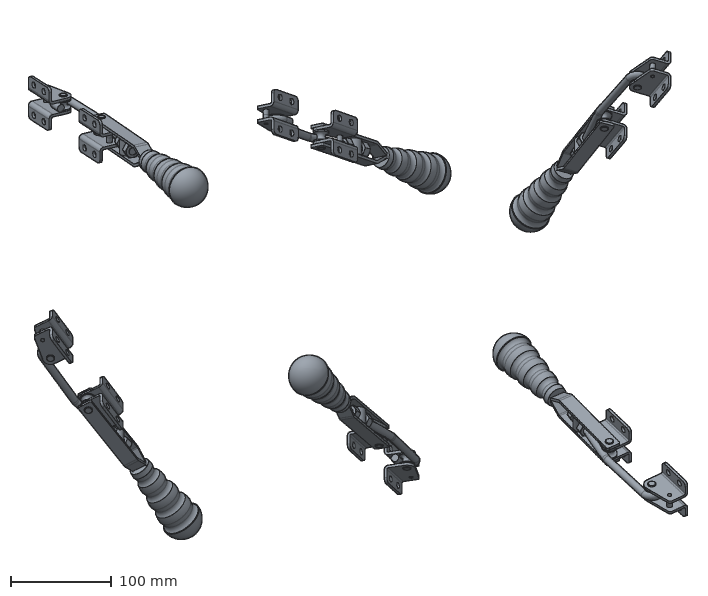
import cadquery as cq
import math


plate_thickness = 3.0
bracket_gap = 11.0
plate_inner_z = bracket_gap / 2
plate_outer_z = plate_inner_z + plate_thickness
rod_diameter = 8.0
rod_radius = rod_diameter / 2
catch_pivot_x = -73.3

bracket_length = 40.0
bracket_height = 46.2
nose_radius = 8.0
base_depth = 21.2
top_slope = 14.0
plate_corner_radius = 3.3
bend_radius = 1.5
flange_corner_radius = 4.5
screw_hole_diameter = 6.3
screw_pitch_x = 19.0
screw_pitch_z = 32.5

pin_radius = 4.2
head_height = 1.0
head_chamfer = 0.75
groove_ring_radius = 8.0
spool_radius = 7.8
stop_pin_offset_x = 23.5
stop_pin_offset_y = -5.0
stop_pin_radius = 3.0
stop_rivet_radius = 1.95
stop_rivet_height = 0.45

lever_tilt = -1.5
bar_thickness = 3.0
bar_half_width = 7.8
bar_end_x = -7.8
bar_corner_radius = 1.5
bar_inner_z = plate_outer_z
bar_outer_z = bar_inner_z + bar_thickness
taper_start_x = 78.7
taper_angle = 30.0
taper_bend_radius = 3.0
tang_depth = 24.0

grip_start_x = 94.2
grip_start_radius = 10.7
grip_steps = 4
step_pitch = 20.0
step_growth = 2.5
first_ridge_x = 100.2
first_ridge_radius = 11.5
valley_offset_x = 5.5
valley_drop = 1.35
shoulder_offset_x = 11.5
shoulder_rise = 1.2
valley_sag = 1.0
shoulder_bulge = 0.45
ball_radius = 21.0
ball_lip = 0.3
ball_x = first_ridge_x + (grip_steps - 1) * step_pitch + shoulder_offset_x + ball_lip

hook_radius = 9.0
hook_tail = 10.0
rod_tilt = 0.8
rod_bend_x = 64.7
rod_bend_radius = 12.0
trunnion_radius = 7.8
trunnion_height = 16.0
trunnion_x = 52.0
nut_width = 14.0
nut_thickness = 7.5
nut_chamfer_depth = 0.75
nut_face_diameter = 13.7
thread_overhang = 1.0


def turned(x, y, degrees):
    """Point (x, y) turned about the origin."""
    angle = math.radians(degrees)
    return (
        x * math.cos(angle) - y * math.sin(angle),
        x * math.sin(angle) + y * math.cos(angle),
    )


def centred_cylinder(radius, half_length):
    """Cylinder along Z about the origin."""
    return cq.Workplane("XY").circle(radius).extrude(half_length, both=True)


def bracket_side_outline():
    """Side outline of a bracket, with the main pin at the origin."""
    near_x = nose_radius
    far_x = near_x - bracket_length
    tangent = turned(0, nose_radius, top_slope)
    crown = turned(nose_radius, 0, (90 + top_slope) / 2)
    slope = math.radians(top_slope)
    far_y = (nose_radius + far_x * math.sin(slope)) / math.cos(slope)
    return (
        cq.Workplane("XY", origin=(0, 0, -bracket_height / 2))
        .moveTo(near_x, -base_depth)
        .lineTo(near_x, 0)
        .threePointArc(crown, tangent)
        .lineTo(far_x, far_y)
        .lineTo(far_x, -base_depth)
        .close()
        .extrude(bracket_height)
        .edges("|Z and <X")
        .edges(">Y")
        .fillet(plate_corner_radius)
    )


def bracket_plate():
    """The +Z plate of a bracket: a bent angle with two screw holes."""
    far_x = nose_radius - bracket_length
    middle_x = far_x + bracket_length / 2
    angle = (
        cq.Workplane("YZ", origin=(far_x, 0, 0))
        .moveTo(nose_radius, plate_inner_z)
        .lineTo(-base_depth, plate_inner_z)
        .lineTo(-base_depth, bracket_height / 2)
        .lineTo(-base_depth + plate_thickness, bracket_height / 2)
        .lineTo(-base_depth + plate_thickness, plate_outer_z)
        .lineTo(nose_radius, plate_outer_z)
        .close()
        .extrude(bracket_length)
    )
    outer_bend = cq.selectors.NearestToPointSelector((middle_x, -base_depth, plate_inner_z))
    angle = angle.edges(outer_bend).fillet(bend_radius + plate_thickness)
    inner_corner = (middle_x, -base_depth + plate_thickness, plate_outer_z)
    angle = angle.edges(cq.selectors.NearestToPointSelector(inner_corner)).fillet(bend_radius)
    angle = angle.edges("|Y and >Z").fillet(flange_corner_radius)
    holes = (
        cq.Workplane("XZ", origin=(middle_x, -base_depth, screw_pitch_z / 2))
        .rarray(screw_pitch_x, 3, 2, 1)
        .circle(screw_hole_diameter / 2)
        .extrude(-plate_thickness)
    )
    return angle.cut(holes).intersect(bracket_side_outline())


def main_pin(seat_z):
    """Main pin of a bracket: a spool grooved for the rod, with heads standing above seat_z."""
    heads = centred_cylinder(pin_radius, seat_z + head_height)
    heads = heads.faces("<Z or >Z").chamfer(head_chamfer)
    groove = cq.Workplane(cq.Solid.makeTorus(groove_ring_radius, rod_radius))
    return centred_cylinder(spool_radius, plate_inner_z).union(heads).cut(groove)


def stop_pin(rivet_height):
    """Small shouldered pin riveted through both plates, standing out by rivet_height."""
    rivet = centred_cylinder(stop_rivet_radius, plate_outer_z + rivet_height)
    pin = centred_cylinder(stop_pin_radius, plate_inner_z).union(rivet)
    return pin.translate((-stop_pin_offset_x, stop_pin_offset_y, 0))


def make_bracket(pin_seat_z, rivet_height):
    """Two plates joined by the main pin and the stop pin."""
    upper = bracket_plate()
    lower = upper.mirror("XY")
    return upper.union(lower).union(main_pin(pin_seat_z)).union(stop_pin(rivet_height))


def lever_bar():
    """The +Z bar of the lever: straight, tapered in to Z = 0, then a straight tang."""
    angle = math.radians(taper_angle)
    meet_x = taper_start_x + bar_inner_z / math.tan(angle)
    corner_shift = bar_thickness * math.tan(angle / 2)
    tang_end_x = grip_start_x + tang_depth
    bar = (
        cq.Workplane("XZ", origin=(0, bar_half_width, 0))
        .moveTo(bar_end_x, bar_inner_z)
        .lineTo(taper_start_x, bar_inner_z)
        .lineTo(meet_x, 0)
        .lineTo(tang_end_x, 0)
        .lineTo(tang_end_x, bar_thickness)
        .lineTo(meet_x + corner_shift, bar_thickness)
        .lineTo(taper_start_x + corner_shift, bar_outer_z)
        .lineTo(bar_end_x, bar_outer_z)
        .close()
        .extrude(2 * bar_half_width)
    )
    inner_bend = cq.selectors.NearestToPointSelector((taper_start_x, 0, bar_inner_z))
    bar = bar.edges(inner_bend).fillet(taper_bend_radius)
    outer_bend = cq.selectors.NearestToPointSelector((taper_start_x + corner_shift, 0, bar_outer_z))
    bar = bar.edges(outer_bend).fillet(taper_bend_radius + bar_thickness)
    return bar.edges("|Z and <X").fillet(bar_corner_radius)


def make_lever():
    """Both bars, joined along the tang and bored for the main pin."""
    upper = lever_bar()
    bars = upper.union(upper.mirror("XY"))
    return bars.cut(centred_cylinder(pin_radius, bar_outer_z))


def arc_middle(start, end, offset):
    """Middle of an arc from start to end that leaves its chord outward by offset."""
    return ((start[0] + end[0]) / 2, (start[1] + end[1]) / 2 + offset)


def make_grip(lever):
    """Turned grip: rounded steps growing toward a half ball, slotted for the tang."""
    ridge = (first_ridge_x, first_ridge_radius)
    profile = (
        cq.Workplane("XY")
        .moveTo(grip_start_x, 0)
        .lineTo(grip_start_x, grip_start_radius)
        .lineTo(*ridge)
    )
    for step in range(grip_steps):
        valley = (ridge[0] + valley_offset_x, ridge[1] - valley_drop)
        shoulder = (ridge[0] + shoulder_offset_x, ridge[1] + shoulder_rise)
        profile = profile.lineTo(*valley)
        profile = profile.threePointArc(arc_middle(valley, shoulder, -valley_sag), shoulder)
        if step < grip_steps - 1:
            ridge = (ridge[0] + step_pitch, ridge[1] + step_growth)
            profile = profile.threePointArc(arc_middle(shoulder, ridge, shoulder_bulge), ridge)
    ball_side = turned(ball_radius, 0, 45)
    profile = (
        profile.lineTo(ball_x, ball_radius)
        .threePointArc((ball_x + ball_side[0], ball_side[1]), (ball_x + ball_radius, 0))
        .close()
    )
    return profile.revolve(360, (0, 0, 0), (1, 0, 0)).cut(lever)


def trunnion_from_catch():
    """Centre of the trunnion as seen from the catch pin, with the rod shank lying along X."""
    x, y = turned(trunnion_x, 0, lever_tilt)
    return turned(x - catch_pivot_x, y, -rod_tilt)


def rod_drop_angle():
    """Bend of the rod, in degrees, that aims its threaded end at the trunnion."""
    target_x, target_y = trunnion_from_catch()
    return math.degrees(math.atan2(hook_radius - target_y, target_x - rod_bend_x))


def at_trunnion(body):
    """Move a body modelled along X about the origin onto the threaded end of the rod."""
    x, y = turned(trunnion_x, 0, lever_tilt)
    axis_angle = rod_tilt - rod_drop_angle()
    return body.rotate((0, 0, 0), (0, 0, 1), axis_angle).translate((x, y, 0))


def nut():
    """Hexagon nut beyond the trunnion on +X: corners on +Y and -Y, outer face chamfered."""
    across_corners = nut_width / math.cos(math.radians(30))
    blank = cq.Workplane("YZ", origin=(trunnion_radius, 0, 0))
    hexagon = blank.polygon(6, across_corners).extrude(nut_thickness)
    chamfer_width = (across_corners - nut_face_diameter) / 2
    chamfered_round = (
        blank.circle(across_corners / 2)
        .extrude(nut_thickness)
        .faces(">X")
        .edges()
        .chamfer(nut_chamfer_depth, chamfer_width)
    )
    return hexagon.intersect(chamfered_round)


def make_hook_rod():
    """Rod hooked around the catch pin, bent down to the trunnion, with a nut on either side."""
    drop = rod_drop_angle()
    bend_setback = rod_bend_radius * math.tan(math.radians(drop / 2))
    bend_centre = (rod_bend_x - bend_setback, hook_radius - rod_bend_radius)
    half_turn = turned(0, rod_bend_radius, -drop / 2)
    full_turn = turned(0, rod_bend_radius, -drop)
    bend_middle = (bend_centre[0] + half_turn[0], bend_centre[1] + half_turn[1])
    bend_end = (bend_centre[0] + full_turn[0], bend_centre[1] + full_turn[1])

    target_x, target_y = trunnion_from_catch()
    overrun = turned(trunnion_radius + nut_thickness + thread_overhang, 0, -drop)
    path = (
        cq.Workplane("XY")
        .moveTo(hook_tail, -hook_radius)
        .lineTo(0, -hook_radius)
        .threePointArc((-hook_radius, 0), (0, hook_radius))
        .lineTo(bend_centre[0], hook_radius)
        .threePointArc(bend_middle, bend_end)
        .lineTo(target_x + overrun[0], target_y + overrun[1])
    )
    rod = cq.Workplane("YZ", origin=(hook_tail, -hook_radius, 0)).circle(rod_radius).sweep(path)
    rod = rod.rotate((0, 0, 0), (0, 0, 1), rod_tilt).translate((catch_pivot_x, 0, 0))
    for end_nut in (nut(), nut().mirror("YZ")):
        rod = rod.union(at_trunnion(end_nut))
    return rod


def make_trunnion():
    """Round cross block between the lever bars, bored for the rod."""
    bore = (
        cq.Workplane("YZ", origin=(-trunnion_radius, 0, 0))
        .circle(rod_radius)
        .extrude(2 * trunnion_radius)
    )
    return at_trunnion(centred_cylinder(trunnion_radius, trunnion_height / 2).cut(bore))


catch_bracket = make_bracket(plate_outer_z, stop_rivet_height).translate((catch_pivot_x, 0, 0))
base_bracket = make_bracket(bar_outer_z, 0).mirror("YZ")
level_lever = make_lever()
level_grip = make_grip(level_lever)
lever = level_lever.rotate((0, 0, 0), (0, 0, 1), lever_tilt)
grip = level_grip.rotate((0, 0, 0), (0, 0, 1), lever_tilt)
hook_rod = make_hook_rod()
trunnion = make_trunnion()

result = cq.Compound.makeCompound(
    [
        catch_bracket.val(),
        base_bracket.val(),
        lever.val(),
        grip.val(),
        hook_rod.val(),
        trunnion.val(),
    ]
)